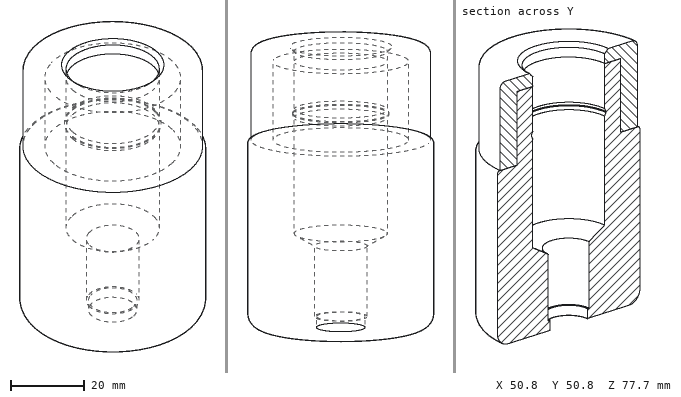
import cadquery as cq
import math

total_height = 77.7
shoulder_height = 51.9

base_radius = 25.4
base_bottom_round = 4.0
base_shoulder_round = 1.0

cap_radius = 24.5
cap_top_round = 2.0

bore_radius = 12.7
bore_chamfer = 1.25

neck_radius = 18.5
neck_top_below_chamfer = 2.85
neck_top = total_height - bore_chamfer - neck_top_below_chamfer
neck_height = neck_top - shoulder_height

groove_top = 60.3
groove_depth = 0.45
groove_flare_height = 0.95
groove_wall_height = 0.3
groove_wall_top = groove_top - groove_flare_height
groove_wall_bottom = groove_wall_top - groove_wall_height
groove_bottom = groove_wall_bottom - groove_flare_height
groove_radius = bore_radius + groove_depth

floor_edge = 26.0
drill_point_angle = 118.0

outlet_bore_radius = 7.2
outlet_chamfer = 0.4
outlet_mouth_radius = outlet_bore_radius + outlet_chamfer
outlet_radius = 6.6
outlet_ledge = 3.0
floor_drop = (bore_radius - outlet_mouth_radius) / math.tan(math.radians(drill_point_angle / 2))
outlet_mouth = floor_edge - floor_drop


def cylinder(radius, bottom, height):
    return cq.Workplane("XY").workplane(offset=bottom).circle(radius).extrude(height)


def make_cavity():
    """Revolved space inside the base: grooved bore, conical floor and stepped outlet."""
    return (
        cq.Workplane("XZ")
        .lineTo(outlet_radius, 0)
        .lineTo(outlet_radius, outlet_ledge)
        .lineTo(outlet_bore_radius, outlet_ledge)
        .lineTo(outlet_bore_radius, outlet_mouth - outlet_chamfer)
        .lineTo(outlet_mouth_radius, outlet_mouth)
        .lineTo(bore_radius, floor_edge)
        .lineTo(bore_radius, groove_bottom)
        .lineTo(groove_radius, groove_wall_bottom)
        .lineTo(groove_radius, groove_wall_top)
        .lineTo(bore_radius, groove_top)
        .lineTo(bore_radius, neck_top)
        .lineTo(0, neck_top)
        .close()
        .revolve(360, (0, 0, 0), (0, 1, 0))
    )


def make_base():
    """Round body with a neck on top and a stepped passage through it."""
    body = cylinder(base_radius, 0, shoulder_height)
    body = body.faces("<Z").edges().fillet(base_bottom_round)
    body = body.faces(">Z").edges().fillet(base_shoulder_round)
    neck = cylinder(neck_radius, shoulder_height, neck_height)
    return body.union(neck).cut(make_cavity())


def make_cap():
    """Sleeve over the neck, with a rounded rim and a chamfered bore."""
    cap_height = total_height - shoulder_height
    cap = cylinder(cap_radius, shoulder_height, cap_height)
    cap = cap.faces(">Z").edges().fillet(cap_top_round)
    bore = cylinder(bore_radius, shoulder_height, cap_height)
    cap = cap.cut(bore)
    cap = cap.faces(">Z").edges(cq.selectors.RadiusNthSelector(0)).chamfer(bore_chamfer)
    neck_recess = cylinder(neck_radius, shoulder_height, neck_height)
    return cap.cut(neck_recess)


base = make_base()
cap = make_cap()
result = cq.Compound.makeCompound([base.val(), cap.val()])